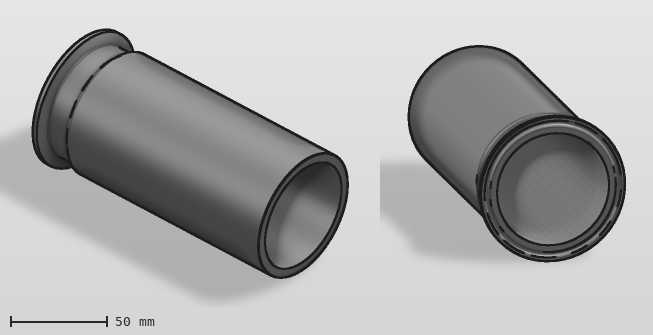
import cadquery as cq
import math

length = 152.4
bore_diameter = 60.2
neck_diameter = 64.8
body_diameter = 70.5
flange_diameter = 77.4

flange_rim_width = 2.9
flange_back_angle = 20.0
flange_root_fillet = 0.8

body_start = 20.9
shoulder_fillet = 0.5
end_chamfer = 0.23

groove_diameter = 70.5
groove_width = 3.0
groove_depth = 1.4
groove_edge_fillet = 0.5

bore_radius = bore_diameter / 2
neck_radius = neck_diameter / 2
body_radius = body_diameter / 2
flange_radius = flange_diameter / 2
groove_radius = groove_diameter / 2

back_slope = math.tan(math.radians(flange_back_angle))
neck_start = flange_rim_width + (flange_radius - neck_radius) * back_slope
neck_end = body_start - (body_radius - neck_radius)


def revolve_about_x(profile):
    """Turn a profile, drawn with X along the axis and Y as the radius, into a solid."""
    return profile.close().revolve(360, (0, 0, 0), (1, 0, 0))


def circles_at(x, radius):
    """Select the circular edges of one radius lying in the plane at x."""
    reach = 0.08
    outer = radius + reach
    return cq.selectors.BoxSelector(
        (x - reach, -outer, -outer), (x + reach, outer, outer), boundingbox=True
    ) - cq.selectors.BoxSelector(
        (x - reach, -radius + reach, -radius + reach),
        (x + reach, radius - reach, radius - reach),
        boundingbox=True,
    )


def make_tube():
    """Flange, neck, shoulder and body with a plain bore right through."""
    return revolve_about_x(
        cq.Workplane("XY")
        .moveTo(0, bore_radius)
        .lineTo(0, flange_radius)
        .lineTo(flange_rim_width, flange_radius)
        .lineTo(neck_start, neck_radius)
        .lineTo(neck_end, neck_radius)
        .lineTo(body_start, body_radius)
        .lineTo(length, body_radius)
        .lineTo(length, bore_radius)
    )


def make_groove():
    """Ring with a circular-arc section that cuts the gasket groove."""
    half_width = groove_width / 2
    return revolve_about_x(
        cq.Workplane("XY")
        .moveTo(0, groove_radius - half_width)
        .threePointArc((groove_depth, groove_radius), (0, groove_radius + half_width))
    )


tube = make_tube()
tube = tube.edges(circles_at(neck_start, neck_radius)).fillet(flange_root_fillet)
for shoulder_x, shoulder_radius in ((neck_end, neck_radius), (body_start, body_radius)):
    tube = tube.edges(circles_at(shoulder_x, shoulder_radius)).fillet(shoulder_fillet)
tube = tube.edges(circles_at(length, body_radius)).chamfer(end_chamfer)

result = tube.cut(make_groove())
for side in (-1, 1):
    rim_radius = groove_radius + side * groove_width / 2
    result = result.edges(circles_at(0, rim_radius)).fillet(groove_edge_fillet)